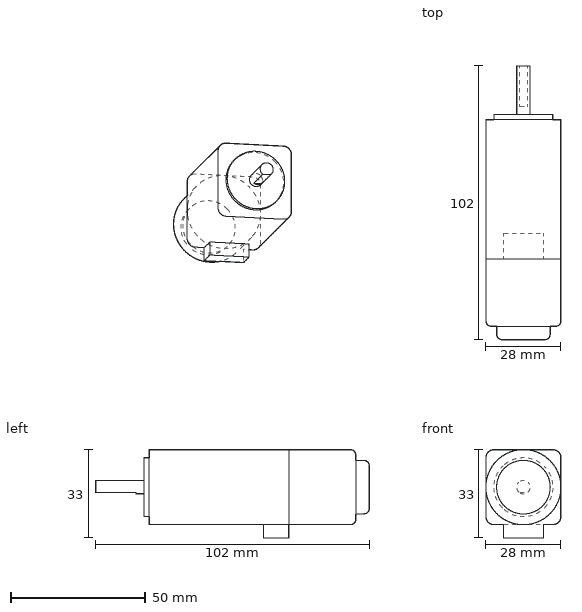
import cadquery as cq


gearbox_side = 28.0
gearbox_length = 52.0
gearbox_corner_radius = 3.0

can_diameter = gearbox_side
can_length = 25.0
cap_diameter = 20.0
cap_length = 5.0
rear_edge_radius = 2.0

pilot_diameter = gearbox_side - 2 * gearbox_corner_radius
pilot_length = 2.0
shaft_diameter = 5.0
shaft_length = 18.0
shaft_flat_length = 15.0
shaft_flat_distance = 2.0

connector_width = 15.0
connector_length = 9.5
connector_height = 5.0

cap_start = -can_length - cap_length
pilot_start = gearbox_length
shaft_start = pilot_start + pilot_length
shaft_end = shaft_start + shaft_length


def cylinder_along_y(diameter, start, length):
    """Round bar on the Y axis, running from start toward +Y."""
    plane = cq.Plane(origin=(0, start, 0), xDir=(1, 0, 0), normal=(0, 1, 0))
    return cq.Workplane(plane).circle(diameter / 2).extrude(length)


def rear_rounded_cylinder(diameter, start, length):
    """Round bar on the Y axis with its rear edge rounded."""
    return cylinder_along_y(diameter, start, length).faces("<Y").edges().fillet(rear_edge_radius)


def make_gearbox():
    box = cq.Workplane("XY").box(gearbox_side, gearbox_length, gearbox_side)
    return box.edges("|Y").fillet(gearbox_corner_radius).translate((0, gearbox_length / 2, 0))


def make_connector():
    """Block that hangs below the gearbox, flush with its rear face."""
    block = cq.Workplane("XY").box(
        connector_width, connector_length, connector_height, centered=(True, False, False)
    )
    return block.translate((0, 0, -gearbox_side / 2 - connector_height))


def make_shaft():
    """Output shaft with a flat on its underside that stops short of the pilot flange."""
    shaft = cylinder_along_y(shaft_diameter, shaft_start, shaft_length)
    flat_cut = cq.Workplane("XY").box(
        shaft_diameter, shaft_flat_length, shaft_diameter, centered=(True, False, False)
    )
    flat_start = shaft_end - shaft_flat_length
    return shaft.cut(flat_cut.translate((0, flat_start, -shaft_flat_distance - shaft_diameter)))


result = (
    make_gearbox()
    .union(make_connector())
    .union(rear_rounded_cylinder(can_diameter, -can_length, can_length))
    .union(rear_rounded_cylinder(cap_diameter, cap_start, cap_length))
    .union(cylinder_along_y(pilot_diameter, pilot_start, pilot_length))
    .union(make_shaft())
)